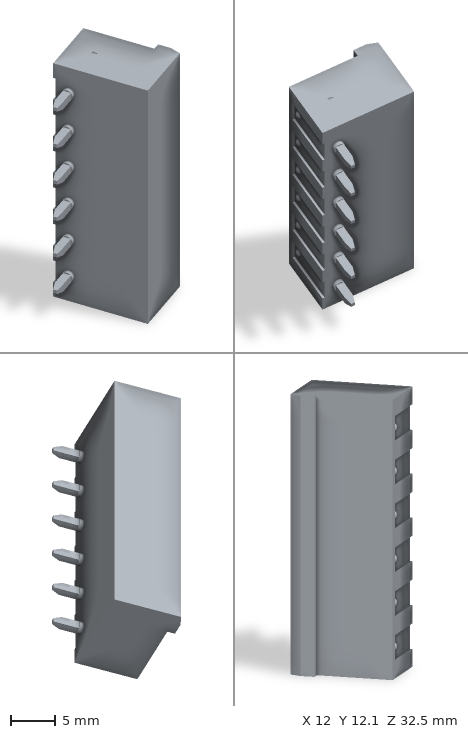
import cadquery as cq

width = 12.0
length = 32.48
body_depth = 7.65
ridge_height = 0.95
ridge_start = 9.0
ridge_bevel_width = 1.33
ridge_bevel_drop = 0.45
overall_depth = body_depth + ridge_height

contact_count = 6
end_margin = 3.55
pitch = (length - 2 * end_margin) / (contact_count - 1)
contact_heights = [end_margin + i * pitch for i in range(contact_count)]

pin_x = 1.98
pin_length = 3.5
pin_side = 1.0
pin_tip_side = 0.5
pin_taper_length = 0.97
collar_diameter = 1.4
collar_length = 0.5

pocket_depth = 0.3
pocket_reach = 6.8
pocket_height = 3.0
dome_diameter = 0.97
dome_to_pocket_end = 0.8
dome_y = pocket_reach - dome_to_pocket_end

mark_base_x = 3.0
mark_length = 0.78
mark_width = 0.4
mark_y = 3.85
mark_depth = 0.1


def make_housing():
    """Block with a bevelled ridge along the far +X edge."""
    return (
        cq.Workplane("XY")
        .moveTo(0, 0)
        .lineTo(width, 0)
        .lineTo(width, overall_depth - ridge_bevel_drop)
        .lineTo(width - ridge_bevel_width, overall_depth)
        .lineTo(ridge_start, overall_depth)
        .lineTo(ridge_start, body_depth)
        .lineTo(0, body_depth)
        .close()
        .extrude(length)
    )


def make_pocket(z):
    """Cutter for a pocket that is open towards the pin face."""
    return (
        cq.Workplane("XY")
        .box(pocket_depth, pocket_reach, pocket_height, centered=(False, False, True))
        .translate((0, 0, z))
    )


def make_dome(z):
    """Spherical cap that rises from the pocket floor to the level of the X = 0 face."""
    base_radius = dome_diameter / 2
    sphere_radius = (base_radius**2 + pocket_depth**2) / (2 * pocket_depth)
    return cq.Workplane("XY").sphere(sphere_radius).translate((sphere_radius, dome_y, z))


def make_pin(z):
    """Square pin with a round collar at its root and a tapered tip."""
    root = cq.Workplane("XZ", origin=(pin_x, 0, z))
    shank_length = pin_length - pin_taper_length
    collar = root.circle(collar_diameter / 2).extrude(collar_length)
    shank = root.rect(pin_side, pin_side).extrude(shank_length)
    tip = (
        root.workplane(offset=shank_length)
        .rect(pin_side, pin_side)
        .workplane(offset=pin_taper_length)
        .rect(pin_tip_side, pin_tip_side)
        .loft(ruled=True)
    )
    return collar.union(shank).union(tip)


def make_mark():
    """Cutter for the triangle, which points towards +X."""
    return (
        cq.Workplane("XY", origin=(mark_base_x, mark_y, length))
        .moveTo(0, -mark_width / 2)
        .lineTo(mark_length, 0)
        .lineTo(0, mark_width / 2)
        .close()
        .extrude(-mark_depth)
    )


result = make_housing().cut(make_mark())
for height in contact_heights:
    result = result.cut(make_pocket(height))
    result = result.union(make_dome(height))
    result = result.union(make_pin(height))